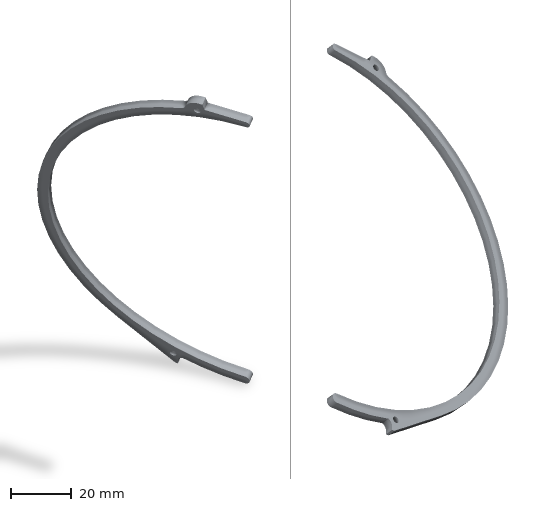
import cadquery as cq
import math

outer_radius = 74.7
inner_radius = 70.9
thickness = 3.2
end_round = 1.8
hole_radius = 1.2

upper_hole = (-18.4, 72.0)
bump_start_x = -22.8
bump_root_round = 1.8
bump_top = 76.2
bump_flat_start_x = -17.7
bump_flat_end_x = -16.6
notch_bottom_x = -15.8
finger_top = 73.6
finger_round = 1.2

lower_hole = (-26.9, -69.7)
barb_tip = (-26.1, -outer_radius)
barb_heel_x = -25.2
barb_relief_z = -72.9
barb_relief_mid = (-24.7, -71.7)
barb_root_x = -23.7


def on_outer(x, side):
    """Point of the outer circle at x; side is +1 above or -1 below centre."""
    return (x, side * math.sqrt(outer_radius**2 - x**2))


tip_distance = math.hypot(*barb_tip)
tip_angle = math.atan2(barb_tip[1], barb_tip[0])
tangent_angle = tip_angle - math.acos(outer_radius / tip_distance)
barb_tangent = (
    outer_radius * math.cos(tangent_angle),
    outer_radius * math.sin(tangent_angle),
)
bump_start = on_outer(bump_start_x, 1)
barb_root = on_outer(barb_root_x, -1)
lower_arc_mid = on_outer(barb_root_x / 2, -1)

outline = (
    cq.Workplane("XZ", origin=(0, thickness / 2, 0))
    .moveTo(0, finger_top)
    .lineTo(notch_bottom_x, finger_top)
    .lineTo(bump_flat_end_x, bump_top)
    .lineTo(bump_flat_start_x, bump_top)
    .tangentArcPoint(bump_start, relative=False)
    .threePointArc((-outer_radius, 0), barb_tangent)
    .lineTo(*barb_tip)
    .lineTo(barb_heel_x, barb_tip[1])
    .lineTo(barb_heel_x, barb_relief_z)
    .threePointArc(barb_relief_mid, barb_root)
    .threePointArc(lower_arc_mid, (0, -outer_radius))
    .lineTo(0, -inner_radius)
    .threePointArc((-inner_radius, 0), (0, inner_radius))
    .close()
)
body = outline.extrude(thickness)


def round_corner(solid, point, radius):
    """Round the outline corner at an (x, z) point."""
    corner = cq.selectors.NearestToPointSelector((point[0], 0, point[1]))
    return solid.edges("|Y").edges(corner).fillet(radius)


body = round_corner(body, bump_start, bump_root_round)
for end_z, radius in (
    (finger_top, finger_round),
    (inner_radius, finger_round),
    (-inner_radius, end_round),
    (-outer_radius, end_round),
):
    body = round_corner(body, (0, end_z), radius)

pin_holes = (
    cq.Workplane("XZ", origin=(0, thickness / 2, 0))
    .pushPoints([upper_hole, lower_hole])
    .circle(hole_radius)
    .extrude(thickness)
)

result = body.cut(pin_holes)